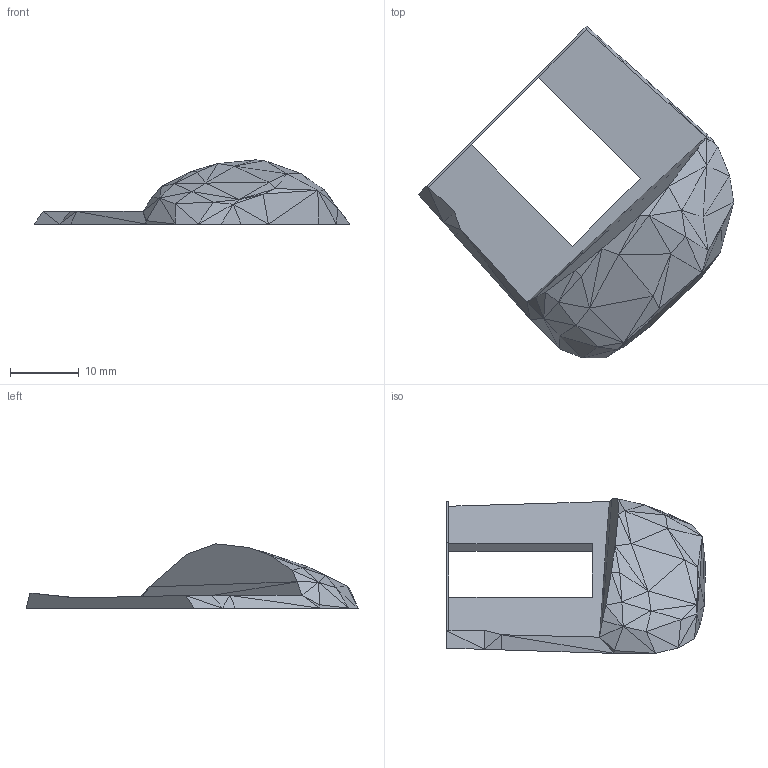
import cadquery as cq
import math

TURN_ANGLE = -45.0

LIP_FACE = -16.03
PLATE_END = 8.46
PLATE_LENGTH = PLATE_END - LIP_FACE
PLATE_CENTRE_THICKNESS = 1.5
PLATE_TOP_SLOPE = -0.0235

HIGH_BASE_AT_LIP = 18.22
HIGH_BASE_AT_DOME = 19.5
HIGH_TOP_AT_LIP = 17.8
HIGH_TOP_AT_DOME = 19.1

LIP_THICKNESS = 0.35
LIP_PEAK = 2.2
LIP_PEAK_ACROSS = 17.4
LIP_HEIGHT = 1.5

WINDOW_LENGTH = 20.9
WINDOW_WIDTH = 14.0
WINDOW_CENTRE_ACROSS = 1.02
WINDOW_CUT_HEIGHT = 10.0

LOW_SIDE = [
    (LIP_FACE, -16.53, -14.7),
    (-10.5, -16.83, -14.6),
    (-8.0, -16.97, -15.8),
    (PLATE_END, -17.85, -16.5),
]

RAMP_OFFSET = 6.5
RAMP_SKEW = 0.05
RAMP_LEAN = 0.25
RAMP_FOOT_TUCK = 0.15
RAMP_BAND_HEIGHT = 2.0
RAMP_FOOT_ENDS = (-16.4, 19.1)
RAMP_BAND_ENDS = (-15.0, 16.9)

RAMP_CREST = [
    (-13.5, 5.5),
    (-8.2, 7.7),
    (-3.2, 8.85),
    (4.1, 9.39),
    (10.1, 7.85),
]

DOME_BASE = [
    (PLATE_END, -17.85, 0),
    (14.5, -17.87, 0),
    (17.77, -16.48, 0),
    (20.15, -14.12, 0),
    (20.95, -10.8, 0),
    (21.6, -5.8, 0),
    (21.75, 4.3, 0),
    (21.1, 8.7, 0),
    (17.35, 15.22, 0),
    (14.2, 17.5, 0),
    (9.9, 19.35, 0),
    (7.5, 19.5, 0),
]
DOME_SHOULDER = [
    (PLATE_END, -17.85, 0.5),
    (9.75, -16.4, 3.8),
    (13.1, -16.6, 3.0),
    (13.8, -13.8, 4.75),
    (18.2, -13.8, 3.2),
    (20.5, -12.0, 2.9),
    (20.5, -10.6, 3.6),
    (20.9, -6.2, 4.4),
    (20.6, -3.45, 5.2),
    (20.7, 3.6, 5.2),
    (21.3, 4.7, 4.95),
    (19.66, 7.6, 5.0),
    (18.6, 11.5, 2.3),
    (15.7, 10.5, 5.2),
    (10.8, 16.2, 3.0),
]
DOME_CROWN = [
    (9.55, -13.2, 5.9),
    (13.4, -10.6, 6.0),
    (9.25, -8.15, 7.6),
    (15.7, -6.2, 6.0),
    (18.7, -2.8, 6.1),
    (10.9, -2.06, 8.45),
    (16.2, 3.4, 7.35),
    (10.0, 5.06, 9.25),
    (15.95, 6.7, 7.35),
    (12.8, 9.0, 7.56),
]

FLATNESS = 1e-6


def supporting_face(points, a, b, c):
    """Return (normal, members) if all points lie on one side of plane abc, else None."""
    normal = (b - a).cross(c - a)
    if normal.Length < FLATNESS:
        return None
    normal = normal.normalized()
    heights = [normal.dot(p - a) for p in points]
    if min(heights) < -FLATNESS and max(heights) > FLATNESS:
        return None
    return normal, [i for i, h in enumerate(heights) if abs(h) <= FLATNESS]


def face_through(corners, normal):
    """Planar face whose corners are put in order around their common centre."""
    centre = sum(corners, cq.Vector()) * (1 / len(corners))
    x_dir = (corners[0] - centre).normalized()
    y_dir = normal.cross(x_dir)
    ordered = sorted(
        corners,
        key=lambda p: math.atan2((p - centre).dot(y_dir), (p - centre).dot(x_dir)),
    )
    return cq.Face.makeFromWires(cq.Wire.makePolygon(ordered, close=True))


def convex_solid(coordinates):
    """Flat-faced solid that is the convex envelope of the given corners."""
    points = [cq.Vector(*xyz) for xyz in coordinates]
    faces = {}
    count = len(points)
    for i in range(count):
        for j in range(i + 1, count):
            for k in range(j + 1, count):
                found = supporting_face(points, points[i], points[j], points[k])
                if found is None:
                    continue
                normal, members = found
                key = tuple(members)
                if key not in faces:
                    faces[key] = face_through([points[m] for m in members], normal)
    shell = cq.Shell.makeShell(list(faces.values()))
    return cq.Workplane(cq.Solid.makeSolid(shell))


def plate_top(across):
    """Height of the plate's tilted top at a position across it."""
    return PLATE_CENTRE_THICKNESS + PLATE_TOP_SLOPE * across


def section_corners(section):
    """Four corners of the plate's cross-section at one position along it."""
    along, low_base, low_top = section
    fraction = (along - LIP_FACE) / PLATE_LENGTH
    high_base = HIGH_BASE_AT_LIP + fraction * (HIGH_BASE_AT_DOME - HIGH_BASE_AT_LIP)
    high_top = HIGH_TOP_AT_LIP + fraction * (HIGH_TOP_AT_DOME - HIGH_TOP_AT_LIP)
    return [
        (along, low_base, 0),
        (along, low_top, plate_top(low_top)),
        (along, high_top, plate_top(high_top)),
        (along, high_base, 0),
    ]


def make_plate():
    segments = [
        convex_solid(section_corners(start) + section_corners(end))
        for start, end in zip(LOW_SIDE, LOW_SIDE[1:])
    ]
    plate = segments[0]
    for segment in segments[1:]:
        plate = plate.union(segment)
    return plate.clean()


def make_lip():
    """Wall that rises from the window's far edge to a peak at the plate's high side."""
    window_edge = WINDOW_CENTRE_ACROSS + WINDOW_WIDTH / 2
    _, low_base, low_top = LOW_SIDE[0]
    outline = [
        (low_base, 0),
        (low_top, plate_top(low_top)),
        (window_edge, LIP_HEIGHT),
        (LIP_PEAK_ACROSS, LIP_PEAK),
        (HIGH_BASE_AT_LIP, 0),
    ]
    lip_plane = cq.Workplane("YZ", origin=(LIP_FACE, 0, 0))
    return lip_plane.polyline(outline).close().extrude(LIP_THICKNESS)


def make_window():
    start = LIP_FACE + LIP_THICKNESS
    centre_along = start + WINDOW_LENGTH / 2
    return (
        cq.Workplane("XY")
        .center(centre_along, WINDOW_CENTRE_ACROSS)
        .rect(WINDOW_LENGTH, WINDOW_WIDTH)
        .extrude(WINDOW_CUT_HEIGHT)
    )


def ramp_corner(across, z, tuck=0.0):
    """Point on the ramp plane, moved into the dome by the tuck."""
    along = RAMP_OFFSET + RAMP_SKEW * across + RAMP_LEAN * z + tuck
    return (along, across, z)


def make_dome():
    """Faceted dome whose ramp rises from the top of the plate."""
    foot = [
        ramp_corner(across, plate_top(across), RAMP_FOOT_TUCK) for across in RAMP_FOOT_ENDS
    ]
    band = [
        ramp_corner(across, plate_top(across) + RAMP_BAND_HEIGHT) for across in RAMP_BAND_ENDS
    ]
    crest = [ramp_corner(across, z) for across, z in RAMP_CREST]
    return convex_solid(DOME_BASE + foot + band + crest + DOME_SHOULDER + DOME_CROWN)


body = make_plate().union(make_lip()).cut(make_window()).union(make_dome())
result = body.rotate((0, 0, 0), (0, 0, 1), TURN_ANGLE)